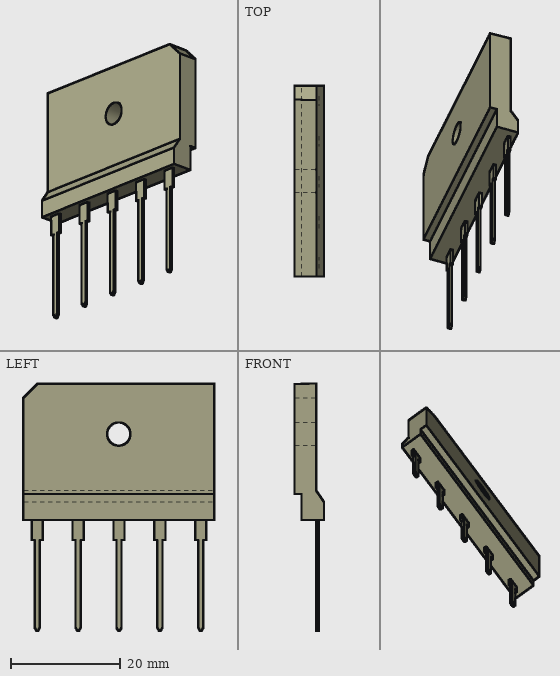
import cadquery as cq

total_height = 45.4
body_depth = 5.5
body_width = 35.0

slab_depth = 4.05
slab_bottom = 25.1
top_draft = 0.15
base_setback = 1.3
base_bottom = 20.35
slope_top = 25.75
slope_bottom = 23.6

corner_cut = 2.7
hole_diameter = 4.2
hole_height = 36.1

pin_count = 5
pin_pitch = 7.5
pin_row_offset = -0.05
pin_thickness = 0.5
pin_front = 4.0
pin_width = 1.0
shoulder_width = 2.1
shoulder_bottom = 16.65
tip_height = 0.65
tip_width = 0.25


def make_housing():
    """Slab with a thicker base, extruded along Y and centred on Y = 0."""
    housing = (
        cq.Workplane("XZ")
        .moveTo(0, slab_bottom)
        .lineTo(base_setback, slab_bottom)
        .lineTo(base_setback, base_bottom)
        .lineTo(body_depth, base_bottom)
        .lineTo(body_depth, slope_bottom)
        .lineTo(slab_depth, slope_top)
        .lineTo(slab_depth, total_height)
        .lineTo(0, total_height - top_draft)
        .close()
        .extrude(body_width / 2, both=True)
    )

    side = body_width / 2
    corner = (
        cq.Workplane("YZ")
        .moveTo(side - corner_cut, total_height)
        .lineTo(side, total_height)
        .lineTo(side, total_height - corner_cut)
        .close()
        .extrude(slab_depth)
    )

    hole = (
        cq.Workplane("YZ")
        .center(0, hole_height)
        .circle(hole_diameter / 2)
        .extrude(slab_depth)
    )
    return housing.cut(corner).cut(hole)


def make_pin(y_position):
    """Flat pin with a wide shoulder under the housing and a pointed tip."""
    right_side = [
        (shoulder_width / 2, base_bottom),
        (shoulder_width / 2, shoulder_bottom),
        (pin_width / 2, shoulder_bottom),
        (pin_width / 2, tip_height),
        (tip_width / 2, 0),
    ]
    left_side = [(-y, z) for y, z in reversed(right_side)]
    return (
        cq.Workplane("YZ", origin=(pin_front, y_position, 0))
        .polyline(right_side + left_side)
        .close()
        .extrude(pin_thickness)
    )


housing = make_housing()

first_pin_y = pin_row_offset - pin_pitch * (pin_count - 1) / 2
pins = [make_pin(first_pin_y + index * pin_pitch) for index in range(pin_count)]

result = cq.Compound.makeCompound([housing.val(), *[pin.val() for pin in pins]])